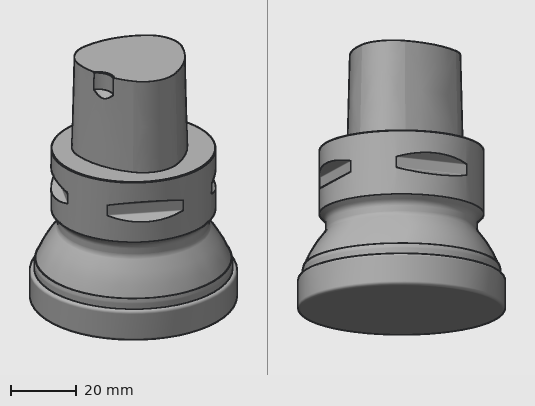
import cadquery as cq
import math

total_height = 80.0
ring_height = 10.0
collar_bottom = 30.0
collar_top = 50.0

ring_diameter = 63.05
ring_edge_radius = 1.0

body_base_diameter = 60.3
base_corner = 12.1
base_blend_radius = 2.1
flare_top_radius = 29.85
flare_top = 13.4
flank_bottom_radius = 29.7
flank_bulge_radius = 38.0
neck_diameter = 46.0
neck_bottom = 25.1
neck_lower_fillet = 2.3
neck_lower_fillet_angle = 38.0
neck_upper_fillet = 2.4
undercut_angle = 45.0
collar_diameter = 50.0
collar_edge_chamfer = 0.25

groove_count = 4
groove_first_angle = 45.0
groove_floor_distance = 22.1
groove_floor_width = 3.4
groove_side_angle = 30.0
groove_floor_fillet = 0.4
groove_height = (collar_bottom + collar_top) / 2

lobe_count = 3
first_side_angle = -90.0
lobe_reach = 18.75
flat_reach = 16.35
lobe_center_offset = 7.05
taper_per_length = 1 / 40

notch_diameter = 10.0
notch_axis_y = -18.85
notch_depth = 5.7
notch_point_angle = 90.0
notch_edge_chamfer = 0.3


def polar(radius, degrees):
    angle = math.radians(degrees)
    return (radius * math.cos(angle), radius * math.sin(angle))


def make_cutting_ring():
    disc = cq.Workplane("XY").circle(ring_diameter / 2).extrude(ring_height)
    return disc.edges().fillet(ring_edge_radius)


def bulged_midpoint(start, end, radius):
    """Middle of an arc from start to end that bows to the right of that direction."""
    run = end[0] - start[0]
    rise = end[1] - start[1]
    chord = math.hypot(run, rise)
    sagitta = radius - math.sqrt(radius**2 - (chord / 2) ** 2)
    middle_x = (start[0] + end[0]) / 2 + sagitta * rise / chord
    middle_z = (start[1] + end[1]) / 2 - sagitta * run / chord
    return (middle_x, middle_z)


def neck_fillet_point(center, radius, degrees):
    """Point on a concave neck fillet; zero degrees is where it touches the neck."""
    x, z = polar(radius, degrees)
    return (center[0] - x, center[1] + z)


def make_turned_body():
    base_radius = body_base_diameter / 2
    neck_radius = neck_diameter / 2
    collar_radius = collar_diameter / 2

    flank_bottom = (flank_bottom_radius, flare_top)
    lower_center = (neck_radius + neck_lower_fillet, neck_bottom)
    flank_top = neck_fillet_point(lower_center, neck_lower_fillet, -neck_lower_fillet_angle)
    lower_middle = neck_fillet_point(lower_center, neck_lower_fillet, -neck_lower_fillet_angle / 2)
    flank_middle = bulged_midpoint(flank_bottom, flank_top, flank_bulge_radius)

    fillet_run = neck_upper_fillet * (1 - math.cos(math.radians(undercut_angle)))
    fillet_rise = neck_upper_fillet * math.sin(math.radians(undercut_angle))
    undercut_run = collar_radius - neck_radius - fillet_run
    undercut_rise = undercut_run * math.tan(math.radians(undercut_angle))
    neck_top = collar_bottom - undercut_rise - fillet_rise
    upper_center = (neck_radius + neck_upper_fillet, neck_top)
    undercut_start = neck_fillet_point(upper_center, neck_upper_fillet, undercut_angle)

    flare_angle = math.atan2(base_radius - flare_top_radius, flare_top - base_corner)
    blend_length = base_blend_radius * math.tan(flare_angle / 2)
    blend_end = (
        base_radius - blend_length * math.sin(flare_angle),
        base_corner + blend_length * math.cos(flare_angle),
    )

    profile = (
        cq.Workplane("XZ")
        .moveTo(0, ring_height)
        .lineTo(base_radius, ring_height)
        .lineTo(base_radius, base_corner - blend_length)
        .tangentArcPoint(blend_end, relative=False)
        .lineTo(flare_top_radius, flare_top)
        .lineTo(*flank_bottom)
        .threePointArc(flank_middle, flank_top)
        .threePointArc(lower_middle, (neck_radius, neck_bottom))
        .lineTo(neck_radius, neck_top)
        .tangentArcPoint(undercut_start, relative=False)
        .lineTo(collar_radius, collar_bottom)
        .lineTo(collar_radius, collar_top - collar_edge_chamfer)
        .lineTo(collar_radius - collar_edge_chamfer, collar_top)
        .lineTo(0, collar_top)
        .close()
    )
    return profile.revolve(360, (0, 0), (0, 1))


def make_gripper_groove():
    """Straight V-sided groove cutter on the +X side, running along Y."""
    cutter_reach = collar_diameter / 2 + 1
    half_floor = groove_floor_width / 2
    flare = (cutter_reach - groove_floor_distance) * math.tan(math.radians(groove_side_angle))
    half_mouth = half_floor + flare
    cutter = (
        cq.Workplane("XZ")
        .moveTo(groove_floor_distance, groove_height - half_floor)
        .lineTo(cutter_reach, groove_height - half_mouth)
        .lineTo(cutter_reach, groove_height + half_mouth)
        .lineTo(groove_floor_distance, groove_height + half_floor)
        .close()
        .extrude(collar_diameter / 2, both=True)
    )
    return cutter.faces("<X").edges("|Y").fillet(groove_floor_fillet)


def make_shank():
    lobe_pitch = 360 / lobe_count
    half_pitch = lobe_pitch / 2

    reach_step = lobe_reach - flat_reach
    side_center_offset = (
        reach_step * (2 * lobe_center_offset - reach_step) / (lobe_center_offset - 2 * reach_step)
    )

    side_radius = flat_reach + side_center_offset
    lobe_center = polar(lobe_center_offset, half_pitch)
    tangent_angle = math.degrees(math.atan2(lobe_center[1], lobe_center[0] + side_center_offset))
    seam_from_side_center = polar(side_radius, tangent_angle)
    seam_x = seam_from_side_center[0] - side_center_offset
    seam_y = seam_from_side_center[1]
    seam_radius = math.hypot(seam_x, seam_y)
    seam_angle = math.degrees(math.atan2(seam_y, seam_x))

    outline = cq.Workplane("XY").workplane(offset=collar_top)
    outline = outline.moveTo(*polar(seam_radius, first_side_angle - seam_angle))
    for lobe in range(lobe_count):
        side_angle = first_side_angle + lobe * lobe_pitch
        side_middle = polar(flat_reach, side_angle)
        side_end = polar(seam_radius, side_angle + seam_angle)
        lobe_middle = polar(lobe_reach, side_angle + half_pitch)
        lobe_end = polar(seam_radius, side_angle + lobe_pitch - seam_angle)
        outline = outline.threePointArc(side_middle, side_end).threePointArc(lobe_middle, lobe_end)
    taper_angle = math.degrees(math.atan(taper_per_length))
    return outline.close().extrude(total_height - collar_top, taper=taper_angle)


def make_notch():
    radius = notch_diameter / 2
    point_length = radius / math.tan(math.radians(notch_point_angle / 2))
    shoulder = total_height - notch_depth
    drill = (
        cq.Workplane("XZ")
        .moveTo(0, shoulder - point_length)
        .lineTo(radius, shoulder)
        .lineTo(radius, total_height - notch_edge_chamfer)
        .lineTo(radius + notch_edge_chamfer, total_height)
        .lineTo(0, total_height)
        .close()
        .revolve(360, (0, 0), (0, 1))
    )
    return drill.translate((0, notch_axis_y, 0))


def make_holder():
    holder = make_turned_body().union(make_shank())
    groove = make_gripper_groove()
    for index in range(groove_count):
        angle = groove_first_angle + index * 360 / groove_count
        holder = holder.cut(groove.rotate((0, 0, 0), (0, 0, 1), angle))
    return holder.cut(make_notch())


cutting_ring = make_cutting_ring()
holder = make_holder()
result = cq.Compound.makeCompound([cutting_ring.val(), *holder.vals()])